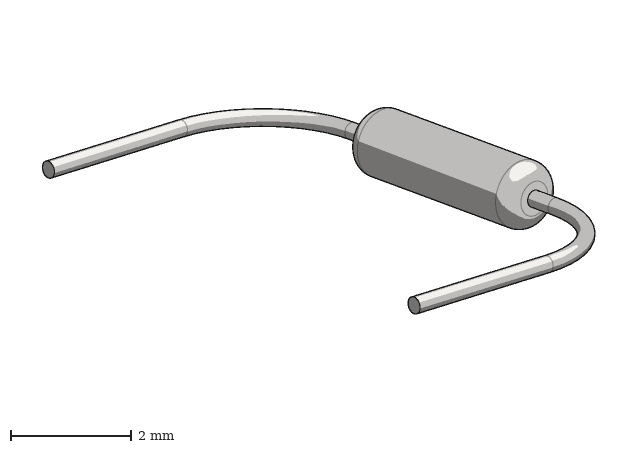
import cadquery as cq

overall_width = 9.3
overall_depth = 5.6
body_length = 4.0
body_diameter = 1.2
body_edge_radius = 0.3
lead_diameter = 0.3
bend_radius = 2.0

lead_x = (overall_width - lead_diameter) / 2
bend_start_x = lead_x - bend_radius
lead_tip_y = body_diameter / 2 - overall_depth


def make_body():
    left_end = cq.Workplane("YZ").workplane(offset=-body_length / 2)
    cylinder = left_end.circle(body_diameter / 2).extrude(body_length)
    return cylinder.edges("%CIRCLE").fillet(body_edge_radius)


def make_right_lead():
    """Wire from the body centre, out along +X, round a quarter bend, then along -Y."""
    path = (
        cq.Workplane("XY")
        .lineTo(bend_start_x, 0)
        .tangentArcPoint((lead_x, -bend_radius), relative=False)
        .lineTo(lead_x, lead_tip_y)
    )
    return cq.Workplane("YZ").circle(lead_diameter / 2).sweep(path)


right_lead = make_right_lead()
left_lead = right_lead.mirror("YZ")
result = make_body().union(right_lead).union(left_lead)